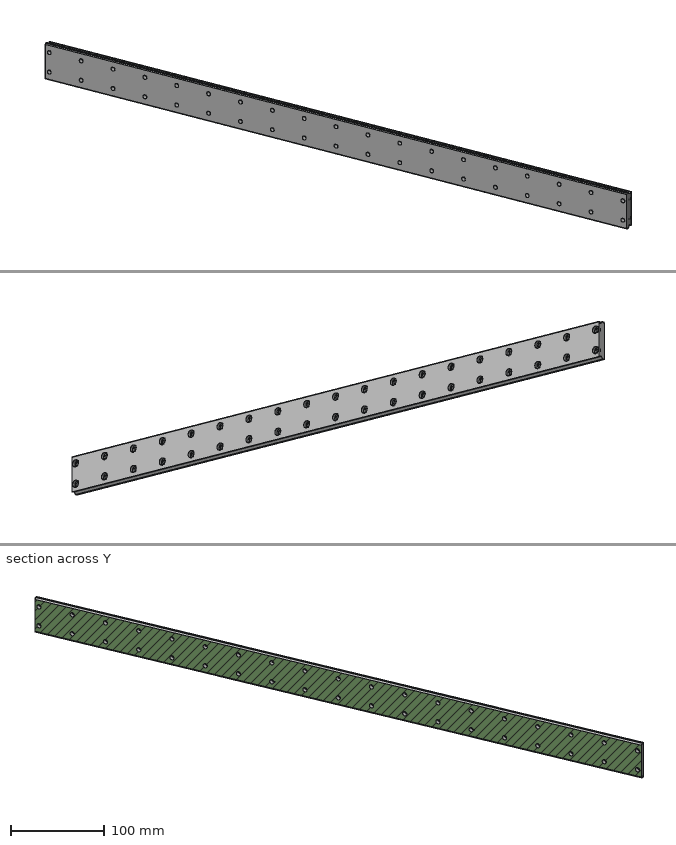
import cadquery as cq
import math

length = 730.0
thickness = 9.5
width = 42.0

front_chamfer = 1.0

groove_radius = 1.5
groove_axis_depth = 1.0
groove_axis_from_back = 3.0
back_lip_depth = 1.3
front_flank_angle = math.radians(45)
back_flank_angle = math.radians(46)
groove_floor_depth = groove_axis_depth + groove_radius

holes_per_row = 19
hole_end_margin = 5.0
hole_below_groove = 7.1
hole_diameter = 4.5
counterbore_diameter = 8.0
counterbore_depth = 4.0
hole_pitch = (length - 2 * hole_end_margin) / (holes_per_row - 1)
hole_row_z = width / 2 - groove_floor_depth - hole_below_groove

clearance = 4.0

back_y = thickness / 2
edge_z = width / 2


def make_plate():
    plate = cq.Workplane("XY").box(length, thickness, width)
    return plate.faces("<Y").edges("|X").chamfer(front_chamfer)


def make_groove_cutter():
    """Solid removed from the +Z edge: lowered back lip, two flanks and a round floor."""
    axis_y = back_y - groove_axis_from_back
    axis_z = edge_z - groove_axis_depth
    lip_z = edge_z - back_lip_depth

    back_tangent_y = axis_y + groove_radius * math.sin(back_flank_angle)
    back_tangent_z = axis_z - groove_radius * math.cos(back_flank_angle)
    front_tangent_y = axis_y - groove_radius * math.sin(front_flank_angle)
    front_tangent_z = axis_z - groove_radius * math.cos(front_flank_angle)

    lip_y = back_tangent_y + (lip_z - back_tangent_z) / math.tan(back_flank_angle)
    mouth_y = front_tangent_y - (edge_z - front_tangent_z) / math.tan(front_flank_angle)

    return (
        cq.Workplane("YZ", origin=(-length / 2, 0, 0))
        .moveTo(back_y + clearance, lip_z)
        .lineTo(lip_y, lip_z)
        .lineTo(back_tangent_y, back_tangent_z)
        .threePointArc((axis_y, edge_z - groove_floor_depth), (front_tangent_y, front_tangent_z))
        .lineTo(mouth_y, edge_z)
        .lineTo(mouth_y, edge_z + clearance)
        .lineTo(back_y + clearance, edge_z + clearance)
        .close()
        .extrude(length)
    )


def cut_screw_holes(rail):
    """Through holes, counterbored from the back (+Y) face."""
    centers = [
        (-length / 2 + hole_end_margin + i * hole_pitch, side * hole_row_z)
        for i in range(holes_per_row)
        for side in (-1, 1)
    ]
    back_plane = cq.Workplane("XZ", origin=(0, back_y, 0)).pushPoints(centers)
    rail = rail.cut(back_plane.circle(hole_diameter / 2).extrude(thickness))
    return rail.cut(back_plane.circle(counterbore_diameter / 2).extrude(counterbore_depth))


groove_cutter = make_groove_cutter()
rail = make_plate().cut(groove_cutter).cut(groove_cutter.mirror("XY"))
result = cut_screw_holes(rail)